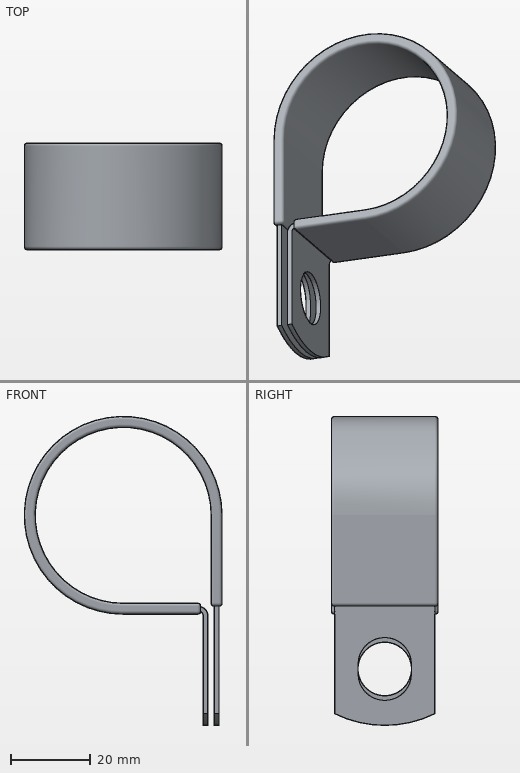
import cadquery as cq
import math


bore_radius = 22.225
cushion_wall = 0.79375
strap_thickness = 1.2192
strap_width = 25.4
tab_gap = 1.575
tab_bottom = -53.16
tab_end_radius = 28.575
bend_inner_radius = strap_thickness
hole_diameter = 13.49
slot_length = 15.875
hole_height = 14.2875
arm_end_x = 19.6
edge_radius = 0.762
leg_end_z = -23.0

strap_inner_radius = bore_radius + cushion_wall
strap_outer_radius = strap_inner_radius + strap_thickness
outer_radius = strap_outer_radius + cushion_wall
cushion_width = strap_width + 2 * cushion_wall
inner_tab_right = strap_inner_radius - tab_gap
inner_tab_left = inner_tab_right - strap_thickness
bend_outer_radius = bend_inner_radius + strap_thickness


def extrude_across(profile, width):
    """Extrude an XZ outline symmetrically along Y."""
    return profile.extrude(width / 2, both=True)


def arc_middle(radius):
    """Middle of the 270 degree loop arc, up and to the left."""
    offset = radius * math.sqrt(0.5)
    return (-offset, offset)


def make_cushion():
    """Three-quarter loop with straight ends, all edges rounded."""
    profile = (
        cq.Workplane("XZ")
        .moveTo(outer_radius, leg_end_z)
        .lineTo(outer_radius, 0)
        .threePointArc(arc_middle(outer_radius), (0, -outer_radius))
        .lineTo(arm_end_x, -outer_radius)
        .lineTo(arm_end_x, -bore_radius)
        .lineTo(0, -bore_radius)
        .threePointArc(arc_middle(bore_radius), (bore_radius, 0))
        .lineTo(bore_radius, leg_end_z)
        .close()
    )
    return extrude_across(profile, cushion_width).edges().fillet(edge_radius)


def make_outer_tab():
    """Straight tab that continues the vertical leg downwards."""
    profile = (
        cq.Workplane("XZ")
        .moveTo(strap_inner_radius, 0)
        .lineTo(strap_outer_radius, 0)
        .lineTo(strap_outer_radius, tab_bottom)
        .lineTo(strap_inner_radius, tab_bottom)
        .close()
    )
    return extrude_across(profile, strap_width)


def make_inner_tab():
    """Tab that leaves the horizontal arm and bends downwards."""
    bend_x = inner_tab_right - bend_outer_radius
    bend_z = -strap_inner_radius - bend_outer_radius
    profile = (
        cq.Workplane("XZ")
        .moveTo(0, -strap_inner_radius)
        .lineTo(bend_x, -strap_inner_radius)
        .radiusArc((inner_tab_right, bend_z), bend_outer_radius)
        .lineTo(inner_tab_right, tab_bottom)
        .lineTo(inner_tab_left, tab_bottom)
        .lineTo(inner_tab_left, bend_z)
        .radiusArc((bend_x, -strap_outer_radius), -bend_inner_radius)
        .lineTo(0, -strap_outer_radius)
        .close()
    )
    return extrude_across(profile, strap_width)


def make_tab_envelope():
    """Side outline of the tabs: straight sides and a rounded lower end."""
    half_width = strap_width / 2
    sag = tab_end_radius - math.sqrt(tab_end_radius**2 - half_width**2)
    corner_z = tab_bottom + sag
    return (
        cq.Workplane("YZ")
        .moveTo(-half_width, 0)
        .lineTo(-half_width, corner_z)
        .threePointArc((0, tab_bottom), (half_width, corner_z))
        .lineTo(half_width, 0)
        .close()
        .extrude(outer_radius)
    )


def make_bolt_opening(height):
    """Cutter along X through a tab: a round hole, or a slot if taller."""
    opening = cq.Workplane("YZ").center(0, tab_bottom + hole_height)
    if height > hole_diameter:
        opening = opening.slot2D(height, hole_diameter, 90)
    else:
        opening = opening.circle(hole_diameter / 2)
    return opening.extrude(outer_radius)


def finish_tab(blank, opening_height):
    """Round the lower end of a tab and cut its bolt opening."""
    return blank.intersect(make_tab_envelope()).cut(make_bolt_opening(opening_height))


inner_tab = finish_tab(make_inner_tab(), hole_diameter)
outer_tab = finish_tab(make_outer_tab(), slot_length)
result = make_cushion().union(inner_tab).union(outer_tab)